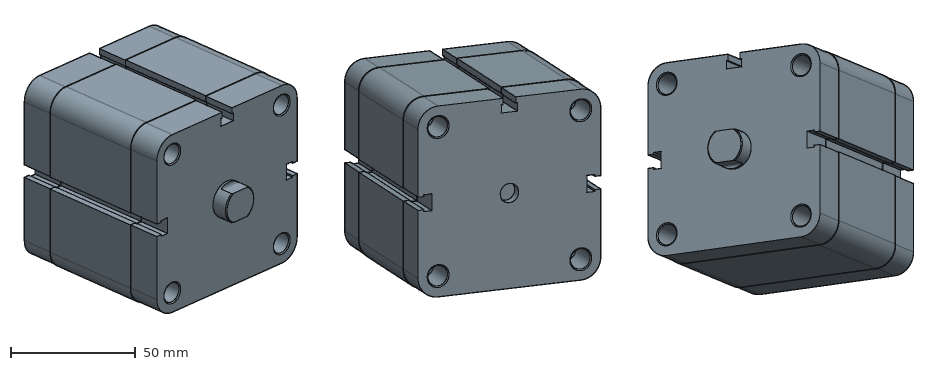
import cadquery as cq


total_length = 82.5
cap_length = 14.8
tube_length = 45.45
front_cap_start = cap_length + tube_length
front_face = front_cap_start + cap_length
rod_length = total_length - front_face

tube_side = 80.0
cap_side = 79.5
bolt_offset = 31.0

bolt_hole_diameter = 8.5
bolt_hole_chamfer = 0.5

slot_shoulder_height = 37.1
tube_slot_floor = 34.1
tube_slot_mouth = 5.4
tube_slot_undercut = 6.4
cap_slot_floor = 33.75
cap_slot_mouth = 5.5
cap_slot_undercut = 7.0
slot_angles = (-90, 0, 90)

locating_hole_diameter = 8.0
locating_hole_depth = 4.0

rod_diameter = 16.0
rod_chamfer = 0.4
flat_distance = 13.0
collar_length = 1.15
flat_fillet = 0.4


def rounded_block(start, length, side):
    """Square block along X whose rounded corners are concentric with the bolt holes."""
    corner_radius = side / 2 - bolt_offset
    return (
        cq.Workplane("YZ", origin=(start, 0, 0))
        .rect(side, side)
        .extrude(length)
        .edges("|X")
        .fillet(corner_radius)
    )


def t_slot(start, length, mouth, undercut, floor):
    """Cutter for the T-slot of the +Z side."""
    top = tube_side / 2
    outline = [
        (-mouth / 2, top),
        (-mouth / 2, slot_shoulder_height),
        (-undercut / 2, slot_shoulder_height),
        (-undercut / 2, floor),
        (undercut / 2, floor),
        (undercut / 2, slot_shoulder_height),
        (mouth / 2, slot_shoulder_height),
        (mouth / 2, top),
    ]
    return cq.Workplane("YZ", origin=(start, 0, 0)).polyline(outline).close().extrude(length)


def cut_slots(block, slot):
    """Cut the T-slot into the three slotted sides."""
    for angle in slot_angles:
        block = block.cut(slot.rotate((0, 0, 0), (1, 0, 0), angle))
    return block


def bolt_holes(start, length):
    """Cutter for the four corner bolt holes."""
    pitch = 2 * bolt_offset
    return (
        cq.Workplane("YZ", origin=(start, 0, 0))
        .rect(pitch, pitch, forConstruction=True)
        .vertices()
        .circle(bolt_hole_diameter / 2)
        .extrude(length)
    )


def make_tube():
    block = rounded_block(cap_length, tube_length, tube_side)
    slot = t_slot(cap_length, tube_length, tube_slot_mouth, tube_slot_undercut, tube_slot_floor)
    return cut_slots(block, slot).cut(bolt_holes(cap_length, tube_length))


def make_cap(start, outer_face):
    """End cap starting at the given X; outer_face selects the face with chamfered bolt holes."""
    block = rounded_block(start, cap_length, cap_side)
    block = block.cut(bolt_holes(start, cap_length))
    hole_rims = cq.selectors.RadiusNthSelector(0)
    block = block.faces(outer_face).edges("%CIRCLE").edges(hole_rims).chamfer(bolt_hole_chamfer)
    slot = t_slot(start, cap_length, cap_slot_mouth, cap_slot_undercut, cap_slot_floor)
    return cut_slots(block, slot)


def cut_locating_hole(cap):
    hole = cq.Workplane("YZ").circle(locating_hole_diameter / 2).extrude(locating_hole_depth)
    return cap.cut(hole)


def make_rod():
    """Rod tip standing on the front face, with flats on its +Z and -Z sides."""
    rod = (
        cq.Workplane("YZ", origin=(front_face, 0, 0))
        .circle(rod_diameter / 2)
        .extrude(rod_length)
        .faces(">X")
        .chamfer(rod_chamfer)
    )
    flat_cutter = (
        cq.Workplane("XY")
        .box(rod_length, rod_diameter, rod_diameter, centered=(False, True, False))
        .edges("<X and <Z")
        .fillet(flat_fillet)
        .translate((front_face + collar_length, 0, flat_distance / 2))
    )
    return rod.cut(flat_cutter).cut(flat_cutter.mirror("XY"))


tube = make_tube()
rear_cap = cut_locating_hole(make_cap(0, "<X"))
front_cap = make_cap(front_cap_start, ">X")
rod = make_rod()

result = cq.Compound.makeCompound([tube.val(), rear_cap.val(), front_cap.val(), rod.val()])